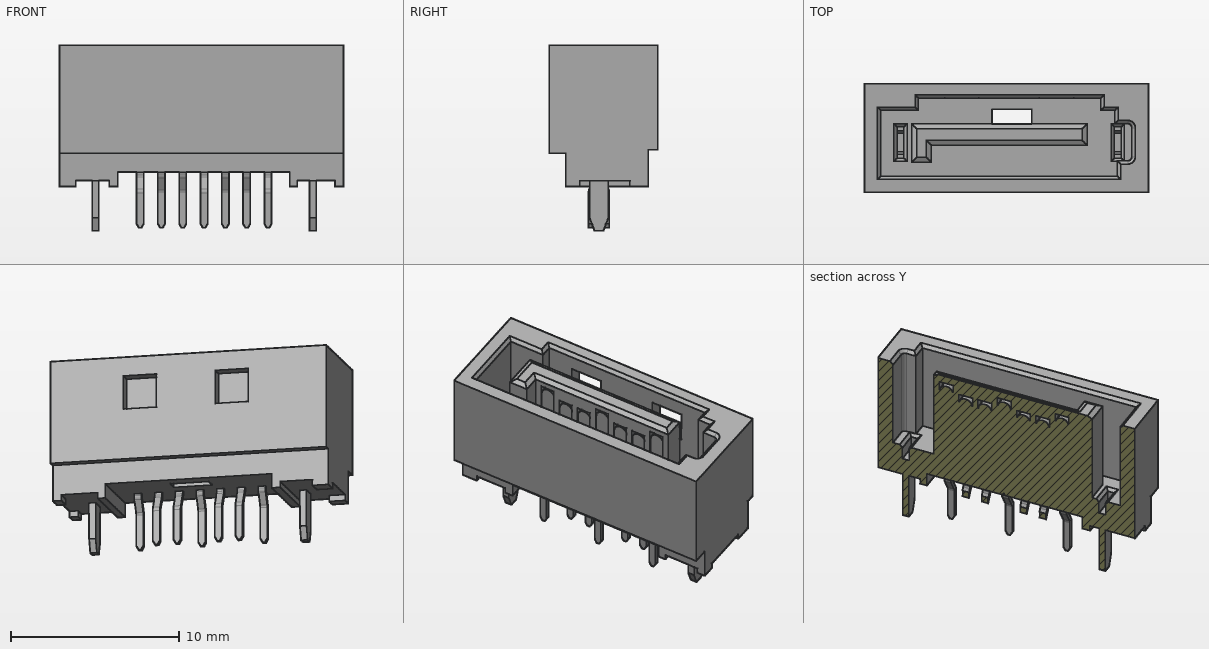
import cadquery as cq

LENGTH = 16.9
WIDTH = 6.45
TOP_Z = 8.42

FRONT_STEP_Z = 1.98
FRONT_STEP_DEPTH = 0.98
REAR_STEP_Z = 2.18
REAR_STEP_DEPTH = 0.55

PIN_BAY_LEFT = -4.97
PIN_BAY_RIGHT = 5.24
PIN_BAY_HEIGHT = 0.86
FOOT_HEIGHT = 0.35
LEFT_RELIEF = (-7.47, -5.5)
RIGHT_RELIEF = (5.7, 7.93)
END_RELIEF_FRONT = -1.4
END_RELIEF_REAR = 1.57

FLOOR_Z = 2.5
RIM_CHAMFER = 0.2
CAVITY_LEFT = -7.47
CAVITY_RIGHT = 6.59
CAVITY_FRONT = -2.26
CAVITY_SHOULDER_Y = 1.64
CAVITY_REAR = 2.37
REAR_BAY_LEFT = -5.24
REAR_BAY_RIGHT = 5.61
SHOULDER_RIGHT = 6.44
KEY_RIGHT = 7.45
KEY_FRONT = -1.35
KEY_REAR = 0.85
KEY_RADIUS = 0.24

WINDOW_WIDTH = 2.03
WINDOW_HEIGHT = 2.03
WINDOW_TOP_Z = TOP_Z - 1.15
WINDOW_CENTERS = (-2.65, 2.97)
FLOOR_HOLE_LEFT = -0.86
FLOOR_HOLE_RIGHT = 1.49
FLOOR_HOLE_REAR = 1.7

BLADE_LEFT = -5.65
BLADE_RIGHT = 4.8
BLADE_REAR = 0.85
BLADE_FRONT = -0.44
BLADE_KEY_RIGHT = -4.46
BLADE_KEY_FRONT = -1.45
BLADE_CHAMFER = 0.3
BLADE_CHAMFER_HEIGHT = 0.17

CONTACT_COUNT = 7
CONTACT_PITCH = 1.27
CONTACT_MIDDLE_X = 0.15
LONG_CONTACTS = (0, 3, 6)
SLOT_WIDTH = 0.88
SLOT_DEPTH = 0.47
LONG_SLOT_DROP = 0.54
SHORT_SLOT_DROP = 1.08
CONTACT_DROP = 0.17
CONTACT_RECESS = 0.08

PIN_ROW_Y = -0.27
PIN_ROW_REACH = 0.63
PIN_WIDTH = 0.44
PIN_THICKNESS = 0.25
PIN_TIP_Z = -2.45
PIN_TIP_HEIGHT = 0.24
PIN_TIP_INSET = 0.14
PIN_ROOT_Z = 1.01
BEND_TOP_Z = 0.65
BEND_BOTTOM_Z = -0.24
BEND_INNER_RADIUS = 0.27
BEND_OUTER_RADIUS = 0.47

LEG_CENTERS = (-6.3, 6.62)
LEG_THICKNESS = 0.4
LEG_WIDTH = 1.12
LEG_TIP_Z = -2.64
LEG_TAPER_Z = -1.85
LEG_TIP_WIDTH = 0.54
LEG_TOP_Z = 1.52
LEG_SLOT_WIDTH = 1.86
LEG_SLOT_CHAMFER = 0.19
LEG_LEDGE_Z = 1.69
LEG_FUNNEL = 0.15

FRONT_Y = -WIDTH / 2
REAR_Y = WIDTH / 2


def box(x0, x1, y0, y1, z0, z1):
    """Block between two limits along each axis."""
    return cq.Workplane("XY").box(x1 - x0, y1 - y0, z1 - z0, centered=False).translate((x0, y0, z0))


def make_housing():
    """Stepped block with the socket cavity and its chamfered rim."""
    body_front = FRONT_Y + FRONT_STEP_DEPTH
    body_rear = REAR_Y - REAR_STEP_DEPTH
    housing = (
        cq.Workplane("YZ")
        .polyline([
            (body_front, 0), (body_rear, 0), (body_rear, REAR_STEP_Z), (REAR_Y, REAR_STEP_Z),
            (REAR_Y, TOP_Z), (FRONT_Y, TOP_Z), (FRONT_Y, FRONT_STEP_Z), (body_front, FRONT_STEP_Z),
        ])
        .close()
        .extrude(LENGTH / 2, both=True)
    )
    cavity = (
        cq.Workplane("XY", origin=(0, 0, FLOOR_Z))
        .polyline([
            (CAVITY_LEFT, CAVITY_FRONT), (CAVITY_RIGHT, CAVITY_FRONT), (CAVITY_RIGHT, KEY_FRONT),
            (KEY_RIGHT, KEY_FRONT), (KEY_RIGHT, KEY_REAR), (SHOULDER_RIGHT, KEY_REAR),
            (SHOULDER_RIGHT, CAVITY_SHOULDER_Y), (REAR_BAY_RIGHT, CAVITY_SHOULDER_Y),
            (REAR_BAY_RIGHT, CAVITY_REAR), (REAR_BAY_LEFT, CAVITY_REAR),
            (REAR_BAY_LEFT, CAVITY_SHOULDER_Y), (CAVITY_LEFT, CAVITY_SHOULDER_Y),
        ])
        .close()
        .extrude(TOP_Z - FLOOR_Z)
    )
    key_corners = cq.selectors.BoxSelector(
        (KEY_RIGHT - KEY_RADIUS, KEY_FRONT - KEY_RADIUS, FLOOR_Z),
        (KEY_RIGHT + KEY_RADIUS, KEY_REAR + KEY_RADIUS, TOP_Z),
    )
    cavity = cavity.edges("|Z").edges(key_corners).fillet(KEY_RADIUS)
    housing = housing.cut(cavity)
    rim = housing.faces(">Z").val().innerWires()[0]
    return housing.newObject(rim.Edges()).chamfer(RIM_CHAMFER)


def cut_underside(housing):
    """Pin bay through the middle, and reliefs that leave feet at both ends."""
    housing = housing.cut(box(PIN_BAY_LEFT, PIN_BAY_RIGHT, FRONT_Y, REAR_Y, 0, PIN_BAY_HEIGHT))
    for x0, x1 in (LEFT_RELIEF, RIGHT_RELIEF):
        housing = housing.cut(box(x0, x1, FRONT_Y, REAR_Y, 0, FOOT_HEIGHT))
    for x0, x1 in ((-LENGTH / 2, LEFT_RELIEF[0]), (RIGHT_RELIEF[1], LENGTH / 2)):
        housing = housing.cut(box(x0, x1, END_RELIEF_FRONT, END_RELIEF_REAR, 0, FOOT_HEIGHT))
    return housing


def cut_openings(housing):
    """Two latch windows in the rear wall and one opening through the floor."""
    for x in WINDOW_CENTERS:
        half = WINDOW_WIDTH / 2
        housing = housing.cut(
            box(x - half, x + half, BLADE_REAR, REAR_Y, WINDOW_TOP_Z - WINDOW_HEIGHT, WINDOW_TOP_Z)
        )
    return housing.cut(
        box(FLOOR_HOLE_LEFT, FLOOR_HOLE_RIGHT, BLADE_REAR, FLOOR_HOLE_REAR, 0, FLOOR_Z)
    )


def make_blade():
    """L-shaped tongue standing on the cavity floor, chamfered around its top."""
    blade = (
        cq.Workplane("XY", origin=(0, 0, FLOOR_Z))
        .polyline([
            (BLADE_LEFT, BLADE_REAR), (BLADE_RIGHT, BLADE_REAR), (BLADE_RIGHT, BLADE_FRONT),
            (BLADE_KEY_RIGHT, BLADE_FRONT), (BLADE_KEY_RIGHT, BLADE_KEY_FRONT),
            (BLADE_LEFT, BLADE_KEY_FRONT),
        ])
        .close()
        .extrude(TOP_Z - FLOOR_Z)
    )
    return blade.faces(">Z").chamfer(BLADE_CHAMFER_HEIGHT, BLADE_CHAMFER)


def contact_position(index):
    """X position of a contact, counted from the left."""
    return CONTACT_MIDDLE_X + (index - (CONTACT_COUNT - 1) / 2) * CONTACT_PITCH


def cut_contact_slot(blade, index):
    """Slot in the blade's front face, filled by a recessed contact with an arched top."""
    x = contact_position(index)
    half = SLOT_WIDTH / 2
    top = TOP_Z - (LONG_SLOT_DROP if index in LONG_CONTACTS else SHORT_SLOT_DROP)
    slot = box(x - half, x + half, BLADE_FRONT, BLADE_FRONT + SLOT_DEPTH, FLOOR_Z, top)
    contact_top = top - CONTACT_DROP
    contact = (
        cq.Workplane("XZ", origin=(x, BLADE_FRONT + SLOT_DEPTH, 0))
        .moveTo(-half, FLOOR_Z)
        .lineTo(half, FLOOR_Z)
        .lineTo(half, contact_top - half)
        .threePointArc((0, contact_top), (-half, contact_top - half))
        .close()
        .extrude(SLOT_DEPTH - CONTACT_RECESS)
    )
    return blade.cut(slot.cut(contact))


def make_pin(index):
    """Solder pin jogged to the front row for long contacts, to the rear row for the others."""
    direction = -1 if index in LONG_CONTACTS else 1
    half = PIN_THICKNESS / 2
    jog = direction * (PIN_ROW_REACH - half)
    outer = direction * half
    pin = (
        cq.Workplane("YZ")
        .polyline([
            (outer, PIN_ROOT_Z), (outer, BEND_TOP_Z), (outer + jog, BEND_BOTTOM_Z),
            (outer + jog, PIN_TIP_Z), (jog - outer, PIN_TIP_Z), (jog - outer, BEND_BOTTOM_Z),
            (-outer, BEND_TOP_Z), (-outer, PIN_ROOT_Z),
        ])
        .close()
        .extrude(PIN_WIDTH / 2, both=True)
    )
    for y, z, radius in (
        (outer, BEND_TOP_Z, BEND_INNER_RADIUS),
        (-outer, BEND_TOP_Z, BEND_OUTER_RADIUS),
        (outer + jog, BEND_BOTTOM_Z, BEND_OUTER_RADIUS),
        (jog - outer, BEND_BOTTOM_Z, BEND_INNER_RADIUS),
    ):
        pin = pin.edges(cq.NearestToPointSelector((0, y, z))).fillet(radius)
    half_width = PIN_WIDTH / 2
    half_tip = half_width - PIN_TIP_INSET
    shoulder_z = PIN_TIP_Z + PIN_TIP_HEIGHT
    outline = (
        cq.Workplane("XZ")
        .polyline([
            (-half_width, PIN_ROOT_Z), (-half_width, shoulder_z), (-half_tip, PIN_TIP_Z),
            (half_tip, PIN_TIP_Z), (half_width, shoulder_z), (half_width, PIN_ROOT_Z),
        ])
        .close()
        .extrude(PIN_ROW_REACH, both=True)
    )
    pin = pin.intersect(outline)
    return pin.translate((contact_position(index), PIN_ROW_Y, 0))


def cut_leg_slot(housing, x):
    """Chamfered slot in the floor with a ledge and a funnel down to the leg."""
    def section(length, width, z):
        return cq.Workplane("XY", origin=(x, PIN_ROW_Y, z)).rect(length, width)

    mouth_z = FLOOR_Z - LEG_SLOT_CHAMFER
    mouth_length = LEG_THICKNESS + 2 * LEG_SLOT_CHAMFER
    mouth_width = LEG_SLOT_WIDTH + 2 * LEG_SLOT_CHAMFER
    mouth = (
        section(LEG_THICKNESS, LEG_SLOT_WIDTH, mouth_z)
        .workplane(offset=LEG_SLOT_CHAMFER)
        .rect(mouth_length, mouth_width)
        .loft(ruled=True)
    )
    slot = section(LEG_THICKNESS, LEG_SLOT_WIDTH, LEG_LEDGE_Z).extrude(mouth_z - LEG_LEDGE_Z)
    funnel = (
        section(LEG_THICKNESS, LEG_WIDTH, LEG_TOP_Z)
        .workplane(offset=LEG_LEDGE_Z - LEG_TOP_Z)
        .rect(LEG_THICKNESS, LEG_WIDTH + 2 * LEG_FUNNEL)
        .loft(ruled=True)
    )
    return housing.cut(mouth).cut(slot).cut(funnel)


def make_leg(x):
    """Flat board-lock leg with a tapered tip."""
    half = LEG_WIDTH / 2
    tip = LEG_TIP_WIDTH / 2
    return (
        cq.Workplane("YZ", origin=(x, PIN_ROW_Y, 0))
        .polyline([
            (-half, LEG_TOP_Z), (half, LEG_TOP_Z), (half, LEG_TAPER_Z),
            (tip, LEG_TIP_Z), (-tip, LEG_TIP_Z), (-half, LEG_TAPER_Z),
        ])
        .close()
        .extrude(LEG_THICKNESS / 2, both=True)
    )


result = make_housing()
result = cut_underside(result)
result = cut_openings(result)
blade = make_blade()
for i in range(CONTACT_COUNT):
    blade = cut_contact_slot(blade, i)
result = result.union(blade)
for i in range(CONTACT_COUNT):
    result = result.union(make_pin(i))
for leg_x in LEG_CENTERS:
    result = cut_leg_slot(result, leg_x)
    result = result.union(make_leg(leg_x))